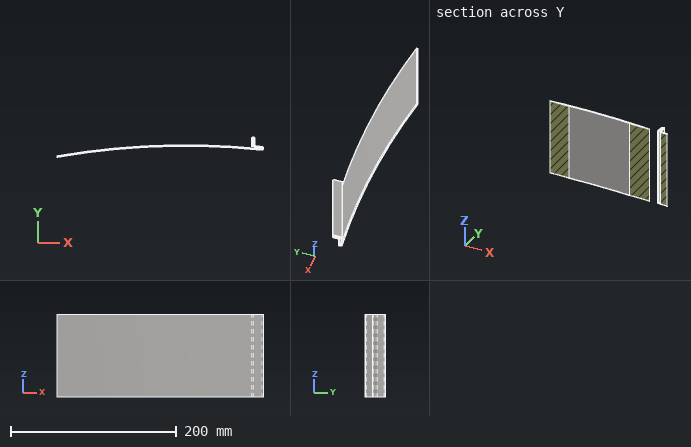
import cadquery as cq
import math

height = 100.0
thickness = 1.7
hem_gap = 1.0

panel_radius = 898.4
start_slope = 9.9
end_slope = 5.9

hem_radius = (hem_gap + thickness) / 2
corner_radius = 1.7
foot_length = 7.5
stem_length = 7.5
return_length = 9.2


def point_beside(point, heading, distance):
    """Point at a distance to the left of the heading (degrees)."""
    angle = math.radians(heading)
    return (point[0] - distance * math.sin(angle), point[1] + distance * math.cos(angle))


def straight(point, heading, length):
    """Point reached by moving straight along the heading."""
    return point_beside(point, heading - 90, length)


def bend(point, heading, radius, turn):
    """Point reached along an arc; a positive turn goes left, a negative one right."""
    signed_radius = math.copysign(radius, turn)
    center = point_beside(point, heading, signed_radius)
    return point_beside(center, heading + turn, -signed_radius)


steps = [
    (panel_radius, -(start_slope + end_slope)),
    (hem_radius, 180),
    (foot_length, 0),
    (corner_radius, end_slope - 90),
    (stem_length, 0),
    (hem_radius, 180),
    (return_length, 0),
]


def sheet_segments(side):
    """Start, middle and end points of every step, offset to one side of the sheet middle."""
    point = (0.0, 0.0)
    heading = start_slope
    segments = []
    for size, turn in steps:
        if turn:
            middle = bend(point, heading, size, turn / 2)
            end = bend(point, heading, size, turn)
        else:
            middle = straight(point, heading, size / 2)
            end = straight(point, heading, size)
        segments.append((
            turn,
            point_beside(point, heading, side),
            point_beside(middle, heading + turn / 2, side),
            point_beside(end, heading + turn, side),
        ))
        point = end
        heading += turn
    return segments


def add_segment(outline, turn, middle, end):
    if turn:
        return outline.threePointArc(middle, end)
    return outline.lineTo(*end)


left_face = sheet_segments(thickness / 2)
right_face = sheet_segments(-thickness / 2)
outline = cq.Workplane("XY").moveTo(*left_face[0][1])
for turn, start, middle, end in left_face:
    outline = add_segment(outline, turn, middle, end)
outline = outline.lineTo(*right_face[-1][3])
for turn, start, middle, end in reversed(right_face):
    outline = add_segment(outline, turn, middle, start)

result = outline.close().extrude(height)